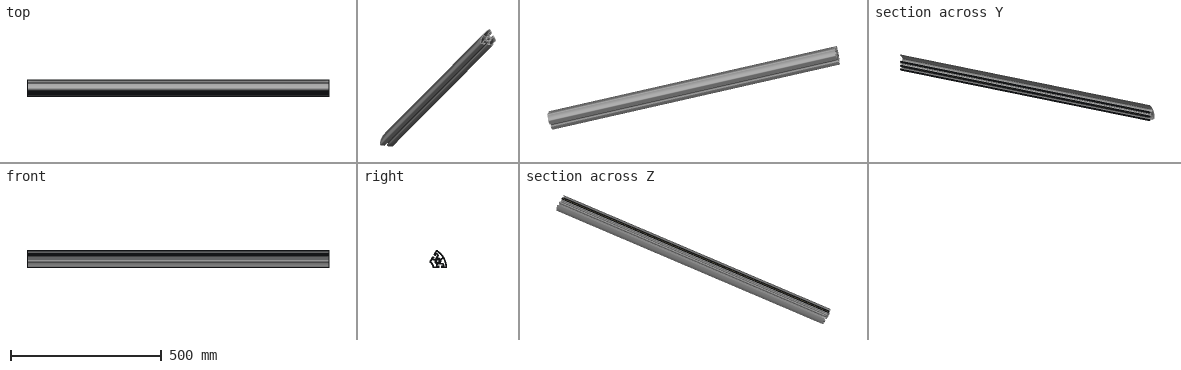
import cadquery as cq
import math

length = 1000.0
sector_angle = 60.0
outer_radius = 67.0
nose_radius = 22.0
outer_corner_radius = 3.0
nose_corner_radius = 3.0
wall = 2.0

core_distance = 44.0
core_radius = 10.0
bore_radius = 4.5
groove_count = 6
groove_reach = 7.5
groove_width = 2.5

slot_position = 46.0
mouth_width = 8.0
undercut_width = 20.0
lip_root_thickness = 3.0
lip_tip_thickness = 6.0
mouth_chamfer = 1.5
side_depth = 8.0
slot_depth = 12.0
floor_width = 16.0
slot_wall = 2.0

middle_angle = sector_angle / 2


def polar(radius, degrees):
    angle = math.radians(degrees)
    return (radius * math.cos(angle), radius * math.sin(angle))


core_center = polar(core_distance, middle_angle)


def round_corners(body, radius, at_radius):
    """Round the two long edges where the arc of the given radius meets the flat faces."""
    for degrees in (0, sector_angle):
        corner = cq.selectors.NearestToPointSelector((length / 2, *polar(at_radius, degrees)))
        body = body.edges("|X").edges(corner).fillet(radius)
    return body


def envelope():
    """Ring sector with rounded corners."""
    body = (
        cq.Workplane("YZ")
        .moveTo(nose_radius, 0)
        .lineTo(outer_radius, 0)
        .threePointArc(polar(outer_radius, middle_angle), polar(outer_radius, sector_angle))
        .lineTo(*polar(nose_radius, sector_angle))
        .threePointArc(polar(nose_radius, middle_angle), (nose_radius, 0))
        .close()
        .extrude(length)
    )
    body = round_corners(body, outer_corner_radius, outer_radius)
    return round_corners(body, nose_corner_radius, nose_radius)


def hollow(body):
    """The body with its inside removed, open at both ends."""
    return body.faces("<X or >X").shell(-wall)


def slot_outline(half_points):
    """Prism on the lower face from (distance off the slot center, depth) points of one half."""
    far_side = [(slot_position + offset, depth) for offset, depth in half_points]
    near_side = [(slot_position - offset, depth) for offset, depth in reversed(half_points)]
    return cq.Workplane("YZ").polyline(far_side + near_side).close().extrude(length)


def on_both_faces(body):
    """The body on the lower face together with its twin on the upper face."""
    twin = body.mirror("XY").rotate((0, 0, 0), (1, 0, 0), sector_angle)
    return body.union(twin)


def slot():
    mouth = mouth_width / 2
    undercut = undercut_width / 2
    return slot_outline([
        (mouth + mouth_chamfer, 0),
        (mouth, mouth_chamfer),
        (mouth, lip_tip_thickness),
        (undercut, lip_root_thickness),
        (undercut, side_depth),
        (floor_width / 2, slot_depth),
    ])


def slot_housing():
    """Solid block around a slot, one wall thicker than the slot itself."""
    side = undercut_width / 2 + slot_wall
    return slot_outline([
        (side, 0),
        (side, side_depth + slot_wall / 2),
        (floor_width / 2 + slot_wall / 2, slot_depth + slot_wall),
    ])


def core():
    return cq.Workplane("YZ").center(*core_center).circle(core_radius).extrude(length)


def bore():
    """Round bore with narrow grooves around it."""
    body = cq.Workplane("YZ").circle(bore_radius).extrude(length)
    for index in range(groove_count):
        groove = (
            cq.Workplane("YZ")
            .center(groove_reach / 2, 0)
            .rect(groove_reach, groove_width)
            .extrude(length)
            .rotate((0, 0, 0), (1, 0, 0), middle_angle + index * 360 / groove_count)
        )
        body = body.union(groove)
    return body.translate((0, *core_center))


def rib():
    """Web on the symmetry line that ties the core to the outer arc."""
    rib_end = outer_radius - wall / 2
    return (
        cq.Workplane("YZ")
        .center((core_distance + rib_end) / 2, 0)
        .rect(rib_end - core_distance, wall)
        .extrude(length)
        .rotate((0, 0, 0), (1, 0, 0), middle_angle)
    )


outside = envelope()
housings = on_both_faces(slot_housing()).intersect(outside)
result = hollow(outside).union(housings).union(core()).union(rib())
result = result.cut(on_both_faces(slot())).cut(bore())